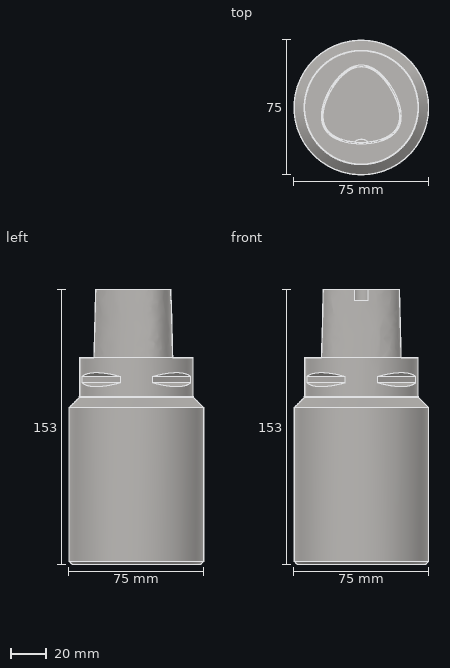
import cadquery as cq
import math

TOTAL_HEIGHT = 153.0
BODY_DIAMETER = 75.0
BOTTOM_CHAMFER = 1.8
BODY_SHOULDER_Z = 87.2

COLLAR_DIAMETER = 63.0
LIP_WIDTH = 0.3
LIP_HEIGHT = 0.5
SHANK_HEIGHT = 38.0
COLLAR_TOP_Z = TOTAL_HEIGHT - SHANK_HEIGHT

SHANK_DIAMETER = 43.9
SHANK_TAPER = 1 / 20
LOBE_HEIGHT = 1.7

NOTCH_RADIUS = 5.2
NOTCH_DEPTH = 1.7
NOTCH_HEIGHT = 6.3

SLOT_COUNT = 4
SLOT_START_ANGLE = 45.0
SLOT_CENTER_Z = 102.8
SLOT_FLOOR_DISTANCE = 27.7
SLOT_FLOOR_HEIGHT = 3.4
SLOT_FLANK_ANGLE = 30.0


def make_body():
    """Turned body, conical shoulder and collar."""
    body_radius = BODY_DIAMETER / 2
    collar_radius = COLLAR_DIAMETER / 2
    lip_radius = collar_radius + LIP_WIDTH
    lip_z = BODY_SHOULDER_Z + body_radius - lip_radius
    return (
        cq.Workplane("XZ")
        .moveTo(0, 0)
        .lineTo(body_radius - BOTTOM_CHAMFER, 0)
        .lineTo(body_radius, BOTTOM_CHAMFER)
        .lineTo(body_radius, BODY_SHOULDER_Z)
        .lineTo(lip_radius, lip_z)
        .lineTo(lip_radius, lip_z + LIP_HEIGHT)
        .lineTo(collar_radius, lip_z + LIP_HEIGHT)
        .lineTo(collar_radius, COLLAR_TOP_Z)
        .lineTo(0, COLLAR_TOP_Z)
        .close()
        .revolve(360, (0, 0), (0, 1))
    )


def shank_outline(mean_radius, z):
    """Closed three-lobed curve with one lobe toward +Y."""
    points = 48

    def point(step):
        angle = 2 * math.pi * step / points
        x = mean_radius * math.sin(angle) - LOBE_HEIGHT * math.sin(2 * angle)
        y = mean_radius * math.cos(angle) + LOBE_HEIGHT * math.cos(2 * angle)
        return cq.Vector(x, y, z)

    curve = cq.Edge.makeSpline([point(step) for step in range(points)], periodic=True)
    return cq.Wire.assembleEdges([curve])


def make_shank(top_radius):
    base = shank_outline(SHANK_DIAMETER / 2, COLLAR_TOP_Z)
    top = shank_outline(top_radius, TOTAL_HEIGHT)
    return cq.Workplane(obj=cq.Solid.makeLoft([base, top], True))


def make_notch(top_radius):
    """Upright cylinder that cuts the notch from the -Y side."""
    flat_distance = top_radius - LOBE_HEIGHT
    center_y = -(flat_distance - NOTCH_DEPTH + NOTCH_RADIUS)
    return (
        cq.Workplane("XY", origin=(0, center_y, TOTAL_HEIGHT - NOTCH_HEIGHT))
        .circle(NOTCH_RADIUS)
        .extrude(NOTCH_HEIGHT)
    )


def make_slot(angle):
    """Straight trapezoidal cutter whose floor is a chord of the collar."""
    outer_distance = BODY_DIAMETER / 2
    floor_half = SLOT_FLOOR_HEIGHT / 2
    flare = (outer_distance - SLOT_FLOOR_DISTANCE) * math.tan(math.radians(SLOT_FLANK_ANGLE))
    outer_half = floor_half + flare
    return (
        cq.Workplane("XZ", origin=(0, 0, SLOT_CENTER_Z))
        .moveTo(SLOT_FLOOR_DISTANCE, -floor_half)
        .lineTo(outer_distance, -outer_half)
        .lineTo(outer_distance, outer_half)
        .lineTo(SLOT_FLOOR_DISTANCE, floor_half)
        .close()
        .extrude(COLLAR_DIAMETER / 2, both=True)
        .rotate((0, 0, 0), (0, 0, 1), angle)
    )


shank_top_radius = (SHANK_DIAMETER - SHANK_TAPER * SHANK_HEIGHT) / 2
result = make_body().union(make_shank(shank_top_radius)).cut(make_notch(shank_top_radius))
for slot_index in range(SLOT_COUNT):
    slot_angle = SLOT_START_ANGLE + slot_index * 360 / SLOT_COUNT
    result = result.cut(make_slot(slot_angle))